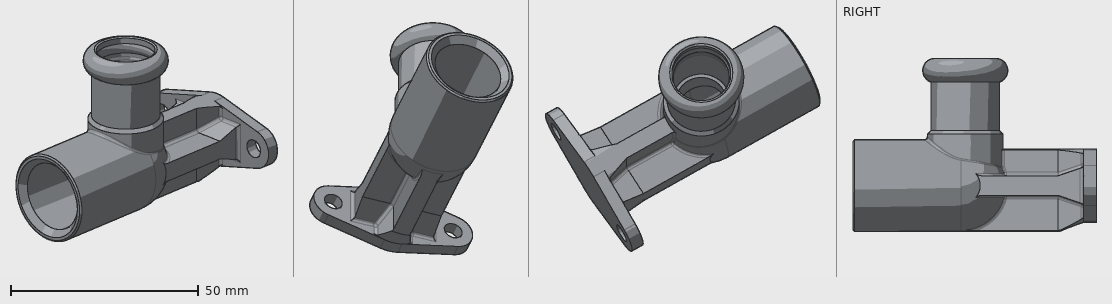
import cadquery as cq
import math

overall_length = 65.0
overall_height = 46.2

flange_back = 35.05
flange_thickness = 3.45
flange_face = flange_back - flange_thickness
flange_hub_radius = 9.8
ear_radius = 5.5
ear_offset = 16.95
ear_hole_diameter = 5.0

run_mouth = flange_back - overall_length
run_radius = 24.5 / 2
run_dome_center = -1.1
run_edge_chamfer = 0.45
run_bore_radius = 9.3
bore_dome_center = -1.8
run_mouth_radius = 11.0
run_mouth_taper = 1.8

branch_top = overall_height - run_radius
neck_radius = 9.15
collar_radius = 10.15
collar_top = 13.7
collar_chamfer = collar_radius - neck_radius
bead_section_radius = 3.25
bead_radius = 11.4
bead_ring_radius = bead_radius - bead_section_radius
bead_height = branch_top - bead_section_radius
branch_bore_radius = 13.3 / 2
socket_radius = 15.3 / 2
socket_floor = collar_top
lip_radius = 15.7 / 2
lip_chamfer_width = 0.6
lip_chamfer_depth = 0.25
lip_bottom = 28.3
socket_lead_in = 0.8
seal_half_height = 1.35
seal_bulge = 0.4

web_half_width = 4.9 / 2
web_bottom_inset = 0.05
web_bottom_radius = run_radius - web_bottom_inset
rib_half_thickness = 2.6
rib_half_span = 22.3 / 2
flare_start = 24.7
flare_growth = 2.35
undercut_start = 25.35

corner_fillet = 1.0
flange_fillet = 1.0
elbow_fillet = 0.8

select_margin = 0.05


def cylinder_y(radius, start, end):
    """Cylinder along Y between two stations."""
    return cq.Workplane("XZ", origin=(0, start, 0)).circle(radius).extrude(start - end)


def cylinder_z(radius, start, end):
    """Cylinder along Z between two heights."""
    return cq.Workplane("XY", origin=(0, 0, start)).circle(radius).extrude(end - start)


def domed_cylinder(radius, start, dome_center):
    """Cylinder along Y that ends in a hemisphere."""
    half_arc = math.sqrt(0.5)
    return (
        cq.Workplane("XY")
        .moveTo(0, start)
        .lineTo(radius, start)
        .lineTo(radius, dome_center)
        .threePointArc(
            (radius * half_arc, dome_center + radius * half_arc),
            (0, dome_center + radius),
        )
        .close()
        .revolve(360, (0, 0, 0), (0, 1, 0))
    )


def flared_strip(plane, half_width):
    """Outline along Y that widens evenly on both sides towards the flange face."""
    flared = half_width + flare_growth
    half = [(half_width, 0), (half_width, flare_start), (flared, flange_face)]
    mirrored = [(-across, along) for across, along in reversed(half)]
    outline = half + mirrored
    if plane == "YZ":
        outline = [(along, across) for across, along in outline]
    return cq.Workplane(plane).polyline(outline).close()


def make_flange():
    sine = (flange_hub_radius - ear_radius) / ear_offset
    cosine = math.sqrt(1 - sine**2)
    hub_x = flange_hub_radius * sine
    hub_z = flange_hub_radius * cosine
    ear_x = ear_offset + ear_radius * sine
    ear_z = ear_radius * cosine
    ear_tip = ear_offset + ear_radius
    flange = (
        cq.Workplane("XZ", origin=(0, flange_back, 0))
        .moveTo(-hub_x, hub_z)
        .threePointArc((0, flange_hub_radius), (hub_x, hub_z))
        .lineTo(ear_x, ear_z)
        .threePointArc((ear_tip, 0), (ear_x, -ear_z))
        .lineTo(hub_x, -hub_z)
        .threePointArc((0, -flange_hub_radius), (-hub_x, -hub_z))
        .lineTo(-ear_x, -ear_z)
        .threePointArc((-ear_tip, 0), (-ear_x, ear_z))
        .close()
        .extrude(flange_thickness)
    )
    holes = (
        cq.Workplane("XZ", origin=(0, flange_back, 0))
        .pushPoints([(-ear_offset, 0), (ear_offset, 0)])
        .circle(ear_hole_diameter / 2)
        .extrude(flange_thickness)
    )
    return flange.cut(holes)


def make_web():
    """Vertical web, rounded on top to the flange hub and below to the run tube."""
    blank = flared_strip("XY", web_half_width).extrude(run_radius, both=True)
    lower = (
        cq.Workplane("XY")
        .polyline(
            [
                (0, 0),
                (web_bottom_radius, 0),
                (web_bottom_radius, undercut_start),
                (flange_hub_radius, flange_face),
                (0, flange_face),
            ]
        )
        .close()
        .revolve(180, (0, 0, 0), (0, 1, 0))
    )
    upper = cylinder_y(flange_hub_radius, 0, flange_face)
    return blank.intersect(upper.union(lower))


def root_box(half_x, half_z):
    """Selects edges lying on the flange face around its centre."""
    return cq.selectors.BoxSelector(
        (-half_x, flange_face - select_margin, -half_z),
        (half_x, flange_face + select_margin, half_z),
    )


def make_bracket():
    """Web and rib crossed, with filleted inner corners, rooted on the flange."""
    rib = flared_strip("YZ", rib_half_thickness).extrude(rib_half_span, both=True)
    bracket = make_web().union(rib)
    middle = (flare_start + flange_face) / 2
    reach = rib_half_thickness + flare_growth
    corners = cq.selectors.BoxSelector((-reach, 0, -reach), (reach, middle + select_margin, reach))
    bracket = bracket.edges(corners).fillet(corner_fillet)
    bracket = bracket.union(make_flange())
    rib_box = root_box(rib_half_span + select_margin, rib_half_thickness + flare_growth + corner_fillet)
    web_root_half_height = 7.8
    web_box = root_box(web_half_width + flare_growth + corner_fillet, web_root_half_height)
    return bracket.edges(rib_box + web_box).fillet(flange_fillet)


def make_collar():
    collar = cylinder_z(collar_radius, 0, collar_top + collar_chamfer)
    return collar.faces(">Z").edges().chamfer(collar_chamfer)


def make_neck():
    neck = cylinder_z(neck_radius, 0, bead_height)
    bead = (
        cq.Workplane("XZ")
        .moveTo(0, branch_top)
        .lineTo(bead_ring_radius, branch_top)
        .threePointArc(
            (bead_radius, bead_height),
            (bead_ring_radius, bead_height - bead_section_radius),
        )
        .lineTo(0, bead_height - bead_section_radius)
        .close()
        .revolve(360, (0, 0, 0), (0, 1, 0))
    )
    return neck.union(bead)


def make_branch_bore():
    """Stepped bore with a rounded sealing ring bulging inwards inside the bead."""
    lip_start = branch_top - lip_chamfer_depth
    seal_radius = lip_radius - seal_bulge
    seal_bottom = bead_height - seal_half_height
    seal_top = bead_height + seal_half_height
    return (
        cq.Workplane("XZ")
        .moveTo(0, 0)
        .lineTo(branch_bore_radius, 0)
        .lineTo(branch_bore_radius, socket_floor)
        .lineTo(socket_radius, socket_floor)
        .lineTo(socket_radius, lip_bottom - socket_lead_in)
        .lineTo(lip_radius, lip_bottom)
        .lineTo(lip_radius, seal_bottom)
        .threePointArc((seal_radius, bead_height), (lip_radius, seal_top))
        .lineTo(lip_radius, lip_start)
        .lineTo(lip_radius + lip_chamfer_width, branch_top)
        .lineTo(0, branch_top)
        .close()
        .revolve(360, (0, 0, 0), (0, 1, 0))
    )


def make_run_bore():
    bore = domed_cylinder(run_bore_radius, run_mouth, bore_dome_center)
    taper = (
        cq.Workplane("XY")
        .polyline(
            [
                (0, run_mouth),
                (run_mouth_radius, run_mouth),
                (run_bore_radius, run_mouth + run_mouth_taper),
                (0, run_mouth + run_mouth_taper),
            ]
        )
        .close()
        .revolve(360, (0, 0, 0), (0, 1, 0))
    )
    return bore.union(taper)


def make_elbow():
    """Run tube and collar, blended where they meet."""
    run = domed_cylinder(run_radius, run_mouth, run_dome_center)
    run = run.faces("<Y").edges().chamfer(run_edge_chamfer)
    elbow = run.union(make_collar())
    joint = cq.selectors.BoxSelector(
        (-run_radius, -run_radius, rib_half_thickness),
        (run_radius, run_radius, run_radius),
    )
    return elbow.edges(joint).edges("%BSPLINE").fillet(elbow_fillet)


def join_bracket(elbow):
    """Add the bracket and blend the web and rib into the dome and collar."""
    joined = elbow.union(make_bracket())
    joint_start = 3.9
    joint_end = run_radius + run_dome_center
    collar_joint_bottom = 6.5
    collar_joint_top = 7.8
    dome_half_width = 10.4
    dome_joint_top = 4.3
    dome_joint = cq.selectors.BoxSelector(
        (-dome_half_width, joint_start, -run_radius),
        (dome_half_width, joint_end, dome_joint_top),
    )
    collar_joint = cq.selectors.BoxSelector(
        (-web_half_width - select_margin, joint_start, collar_joint_bottom),
        (web_half_width + select_margin, joint_end, collar_joint_top),
    )
    return joined.edges(dome_joint + collar_joint).fillet(elbow_fillet)


result = join_bracket(make_elbow()).union(make_neck())
result = result.cut(make_run_bore()).cut(make_branch_bore())